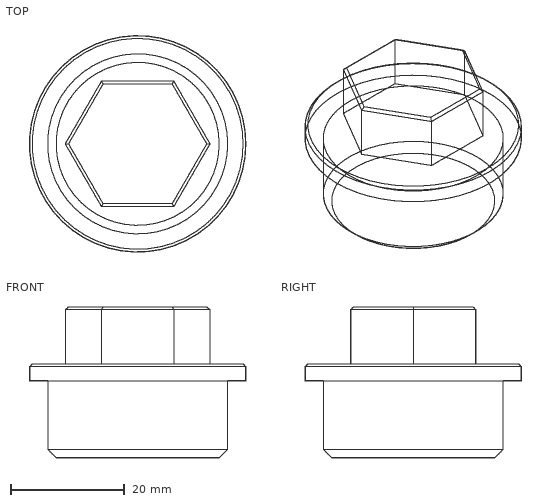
import cadquery as cq
import math

head_across_flats = 22.0
head_height = 10.0
head_chamfer = 0.5

flange_diameter = 38.0
flange_thickness = 3.0
flange_chamfer = 0.5

shank_diameter = 31.6
shank_length = 13.5
shank_chamfer = 1.5

head_across_corners = head_across_flats / math.cos(math.radians(30))


def make_shank():
    """Cylinder hanging below Z = 0, with a chamfered lead-in at its lower end."""
    shank = cq.Workplane("XY").circle(shank_diameter / 2).extrude(-shank_length)
    return shank.faces("<Z").chamfer(shank_chamfer)


def make_flange():
    """Disc standing on Z = 0, with a chamfered upper rim."""
    flange = cq.Workplane("XY").circle(flange_diameter / 2).extrude(flange_thickness)
    return flange.faces(">Z").chamfer(flange_chamfer)


def make_head():
    """Hexagonal prism on top of the flange, with its upper edges chamfered."""
    head = (
        cq.Workplane("XY")
        .workplane(offset=flange_thickness)
        .polygon(6, head_across_corners)
        .extrude(head_height)
    )
    return head.faces(">Z").chamfer(head_chamfer)


result = make_shank().union(make_flange()).union(make_head())